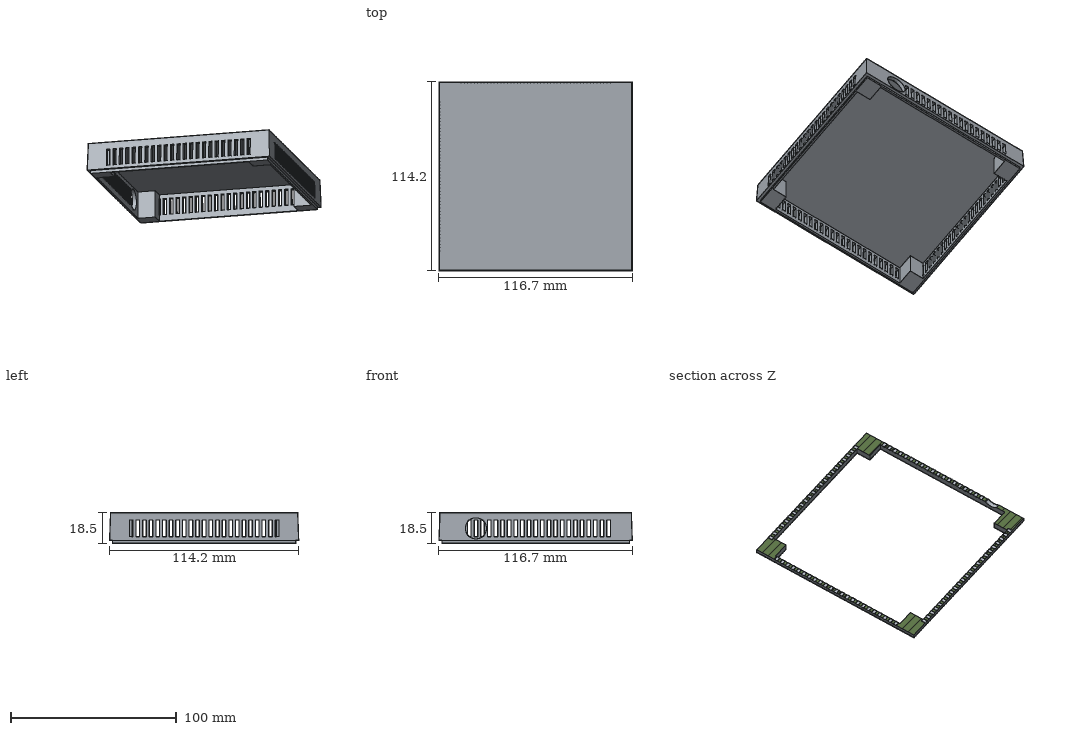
import cadquery as cq
import math

base_length = 116.71
base_width = 114.17
total_height = 18.5

lip_height = 1.75
lip_inset = 1.75
rim_height = 2.0
roof_thickness = 2.0
wall_thickness = 2.9
draft_angle = 2.0

slot_width = 2.0
slot_height = 10.0
slot_bottom = 4.0
slot_pitch = 4.0
slots_each_side = 11

cable_hole_diameter = 12.7
cable_hole_x = -9 * slot_pitch
cable_hole_z = slot_bottom + slot_height / 2
first_slot_beside_hole = -7

post_inner_x = 46.0
post_inner_y = 43.4

rim_bottom = total_height - rim_height
roof_bottom = total_height - roof_thickness
draft_inset = (rim_bottom - lip_height) * math.tan(math.radians(draft_angle))
rim_length = base_length - 2 * draft_inset
rim_width = base_width - 2 * draft_inset
lip_length = base_length - 2 * lip_inset
lip_width = base_width - 2 * lip_inset
cavity_length = base_length - 2 * wall_thickness
cavity_width = base_width - 2 * wall_thickness
post_length = cavity_length / 2 - post_inner_x
post_width = cavity_width / 2 - post_inner_y
post_x = post_inner_x + post_length / 2
post_y = post_inner_y + post_width / 2


def block(length, width, bottom, top):
    """Upright block centred on the Z axis."""
    return cq.Workplane("XY").workplane(offset=bottom).rect(length, width).extrude(top - bottom)


def make_shell():
    """Box with drafted walls, a straight rim on top, a lip below and an open bottom."""
    walls = (
        cq.Workplane("XY")
        .workplane(offset=lip_height)
        .rect(base_length, base_width)
        .workplane(offset=rim_bottom - lip_height)
        .rect(rim_length, rim_width)
        .loft(ruled=True)
    )
    rim = block(rim_length, rim_width, rim_bottom, total_height)
    lip = block(lip_length, lip_width, 0, lip_height)
    cavity = block(cavity_length, cavity_width, 0, roof_bottom)
    return walls.union(rim).union(lip).cut(cavity)


def slot_row(first, last):
    """Upright slots, numbered from the middle of a wall, cutting from Y = 0 to beyond +Y."""
    slots = cq.Workplane("XY")
    for number in range(first, last + 1):
        slot = cq.Workplane("XY").box(
            slot_width, base_width, slot_height, centered=(True, False, False)
        )
        slots = slots.add(slot.translate((number * slot_pitch, 0, slot_bottom)))
    return slots.combine()


def cut_slots(body):
    """Cut a full row through three walls and a shortened row through the front (-Y) wall."""
    full_row = slot_row(-slots_each_side, slots_each_side)
    front_row = slot_row(-slots_each_side, -first_slot_beside_hole)
    for turn in (-90, 0, 90):
        body = body.cut(full_row.rotate((0, 0, 0), (0, 0, 1), turn))
    return body.cut(front_row.rotate((0, 0, 0), (0, 0, 1), 180))


def cut_cable_hole(body):
    """Cut the round hole from the middle of the part out through the front wall."""
    hole = (
        cq.Workplane("XZ")
        .center(cable_hole_x, cable_hole_z)
        .circle(cable_hole_diameter / 2)
        .extrude(base_width)
    )
    return body.cut(hole)


def add_posts(body):
    """Fill each corner of the cavity with a post from the roof down to the foot of the lip."""
    for x_side in (-1, 1):
        for y_side in (-1, 1):
            post = block(post_length, post_width, 0, roof_bottom)
            body = body.union(post.translate((x_side * post_x, y_side * post_y, 0)))
    return body


result = add_posts(cut_cable_hole(cut_slots(make_shell())))